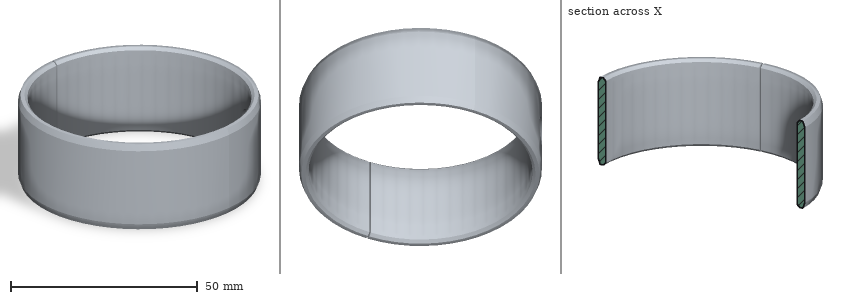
import cadquery as cq

outer_diameter = 65.0
inner_diameter = 60.0
height = 25.0

outer_bevel_depth = 0.65
outer_bevel_height = 1.75
inner_bevel_depth = 0.8
inner_bevel_height = 0.8

split_width = 0.45
hole_diameter = 8.0
hole_angle = 59.0

outer_radius = outer_diameter / 2
inner_radius = inner_diameter / 2
half_height = height / 2


def ring_body():
    """Revolve the bevelled wall section about Z."""
    upper_half = [
        (outer_radius, half_height - outer_bevel_height),
        (outer_radius - outer_bevel_depth, half_height),
        (inner_radius + inner_bevel_depth, half_height),
        (inner_radius, half_height - inner_bevel_height),
    ]
    lower_half = [(radius, -z) for radius, z in reversed(upper_half)]
    section = cq.Workplane("XZ").polyline(upper_half + lower_half).close()
    return section.revolve(360, (0, 0, 0), (0, 1, 0))


def split_cutter():
    """Thin slot through the full height of the wall on the -X side."""
    return cq.Workplane("XY").box(
        outer_radius, split_width, height, centered=(False, True, True)
    ).translate((-outer_radius, 0, 0))


def hole_cutter():
    """Radial hole at mid-height, through one side of the wall."""
    along_x = cq.Workplane("YZ").circle(hole_diameter / 2).extrude(outer_radius)
    return along_x.rotate((0, 0, 0), (0, 0, 1), hole_angle)


result = ring_body().cut(split_cutter()).cut(hole_cutter())